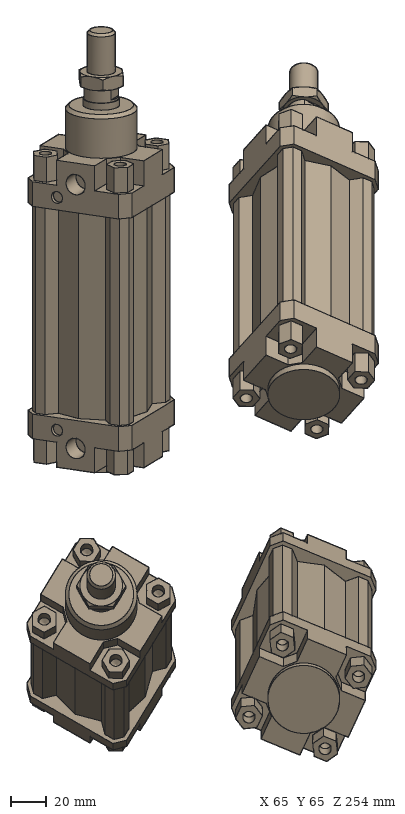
import cadquery as cq
import math


total_height = 254.0
spigot_height = 4.3
cap_height = 29.2
barrel_length = 122.2
collar_height = 25.1
rear_cap_z = spigot_height
barrel_z = rear_cap_z + cap_height
front_cap_z = barrel_z + barrel_length
front_cap_top = front_cap_z + cap_height
housing_top = front_cap_top + collar_height

cap_width = 65.0
cap_corner_chamfer = 5.5
pocket_depth = 14.7
cross_width = 24.0
pocket_corner_chamfer = 5.8
collar_diameter = 40.5
collar_chamfer = 2.0

tie_offset = 23.4
tie_across_flats = 13.2
tie_hole_diameter = 6.9
tie_hole_depth = 10.2
drill_tip_angle = 118.0

port_diameter = 12.0
port_from_end = 12.7
port_depth = 12.7
screw_diameter = 6.9
screw_x = -11.7
screw_from_end = 21.8
screw_depth = 2.5

barrel_width = 60.5
barrel_corner_chamfer = 4.0
groove_edge = 20.3
groove_depth = 5.5
barrel_ridge = 28.7

thread_diameter = 16.0
thread_chamfer = 1.5
neck_diameter = 19.5
neck_across_flats = 17.0
flats_z = 215.5
shank_diameter = 20.5
shank_top = 214.0

nut_z = 222.0
nut_height = 8.0
nut_across_flats = 24.0
nut_chamfer_angle = 30.0


def turned(profile):
    """Solid of revolution about Z from (radius, z) points."""
    return cq.Workplane("XZ").polyline(profile).close().revolve(360, (0, 0, 0), (0, 1, 0))


def across_corners(across_flats):
    return across_flats / math.cos(math.radians(30))


def corner_pocket():
    """Cutter for the pocket in the +X +Y corner of a cap's outer end, bevelled at its inner corner."""
    inner = cross_width / 2
    bevel = inner + pocket_corner_chamfer
    outer = cap_width
    outline = [(bevel, inner), (outer, inner), (outer, outer), (inner, outer), (inner, bevel)]
    floor = cq.Workplane("XY", origin=(0, 0, cap_height - pocket_depth))
    return floor.polyline(outline).close().extrude(pocket_depth)


def tie_nut():
    """Hexagonal tie-rod nut on the Z axis, with one pair of corners along X."""
    base = cap_height - pocket_depth
    return (
        cq.Workplane("XY", origin=(0, 0, base))
        .polygon(6, across_corners(tie_across_flats))
        .extrude(pocket_depth)
    )


def tie_hole():
    """Cutter for the blind drilled hole in a tie-rod nut, with a conical bottom."""
    radius = tie_hole_diameter / 2
    straight_end = cap_height - tie_hole_depth
    tip = straight_end - radius / math.tan(math.radians(drill_tip_angle / 2))
    profile = [(0, tip), (radius, straight_end), (radius, cap_height), (0, cap_height)]
    return turned(profile)


def side_hole(x, from_end, diameter, depth):
    """Cutter for a blind hole into the -Y face of a cap."""
    face = cq.Workplane("XZ", origin=(x, -cap_width / 2, cap_height - from_end))
    return face.circle(diameter / 2).extrude(-depth)


def to_corner(shape, corner):
    """Turn a shape from the +X +Y corner about Z to the given corner, counted in quarter turns."""
    return shape.rotate((0, 0, 0), (0, 0, 1), 90 * corner)


def make_cap():
    """End cap with its inner face on Z = 0 and its outer end facing +Z."""
    cap = (
        cq.Workplane("XY")
        .rect(cap_width, cap_width)
        .extrude(cap_height)
        .edges("|Z")
        .chamfer(cap_corner_chamfer)
    )
    tie_place = (tie_offset, tie_offset, 0)
    for corner in range(4):
        pocket = to_corner(corner_pocket(), corner)
        post = to_corner(tie_nut().translate(tie_place), corner)
        hole = to_corner(tie_hole().translate(tie_place), corner)
        cap = cap.cut(pocket).union(post).cut(hole)
    cap = cap.cut(side_hole(0, port_from_end, port_diameter, port_depth))
    return cap.cut(side_hole(screw_x, screw_from_end, screw_diameter, screw_depth))


def make_barrel():
    """Fluted barrel: four corner posts with a shallow ridge between each pair."""
    half = barrel_width / 2
    corner = half - barrel_corner_chamfer
    groove_bottom = groove_edge - groove_depth
    side = [
        (-corner, -half),
        (-groove_edge, -half),
        (-groove_bottom, groove_depth - half),
        (0, -barrel_ridge),
        (groove_bottom, groove_depth - half),
        (groove_edge, -half),
        (corner, -half),
    ]
    outline = list(side)
    for _ in range(3):
        side = [(-y, x) for x, y in side]
        outline += side
    return cq.Workplane("XY", origin=(0, 0, barrel_z)).polyline(outline).close().extrude(barrel_length)


def make_housing():
    front_cap = make_cap().translate((0, 0, front_cap_z))
    rear_cap = make_cap().mirror("XY").translate((0, 0, barrel_z))
    spigot = cq.Workplane("XY").circle(collar_diameter / 2).extrude(spigot_height)
    collar = (
        cq.Workplane("XY", origin=(0, 0, front_cap_top))
        .circle(collar_diameter / 2)
        .extrude(collar_height)
        .faces(">Z")
        .chamfer(collar_chamfer)
    )
    return make_barrel().union(front_cap).union(rear_cap).union(spigot).union(collar)


def make_rod():
    """Stepped rod standing on the collar, with two wrench flats facing -X and +X below the nut."""
    shank = shank_diameter / 2
    neck = neck_diameter / 2
    thread = thread_diameter / 2
    profile = [
        (0, housing_top),
        (shank, housing_top),
        (shank, shank_top),
        (neck, shank_top),
        (neck, nut_z),
        (thread, nut_z),
        (thread, total_height - thread_chamfer),
        (thread - thread_chamfer, total_height),
        (0, total_height),
    ]
    rod = turned(profile)
    clear_width = 2 * neck_diameter
    flats = (
        cq.Workplane("XY", origin=(0, 0, flats_z))
        .rect(clear_width, clear_width)
        .rect(neck_across_flats, clear_width)
        .extrude(nut_z - flats_z)
    )
    return rod.cut(flats)


def make_nut():
    """Hexagonal lock nut with its corners bevelled at both ends."""
    flat_radius = nut_across_flats / 2
    corner_radius = across_corners(nut_across_flats) / 2
    bevel = (corner_radius - flat_radius) * math.tan(math.radians(nut_chamfer_angle))
    nut_top = nut_z + nut_height
    envelope_profile = [
        (0, nut_z),
        (flat_radius, nut_z),
        (corner_radius, nut_z + bevel),
        (corner_radius, nut_top - bevel),
        (flat_radius, nut_top),
        (0, nut_top),
    ]
    hexagon = (
        cq.Workplane("XY", origin=(0, 0, nut_z))
        .polygon(6, 2 * corner_radius)
        .circle(thread_diameter / 2)
        .extrude(nut_height)
    )
    return hexagon.intersect(turned(envelope_profile))


housing = make_housing()
rod = make_rod()
nut = make_nut()

result = cq.Compound.makeCompound([housing.val(), rod.val(), nut.val()])